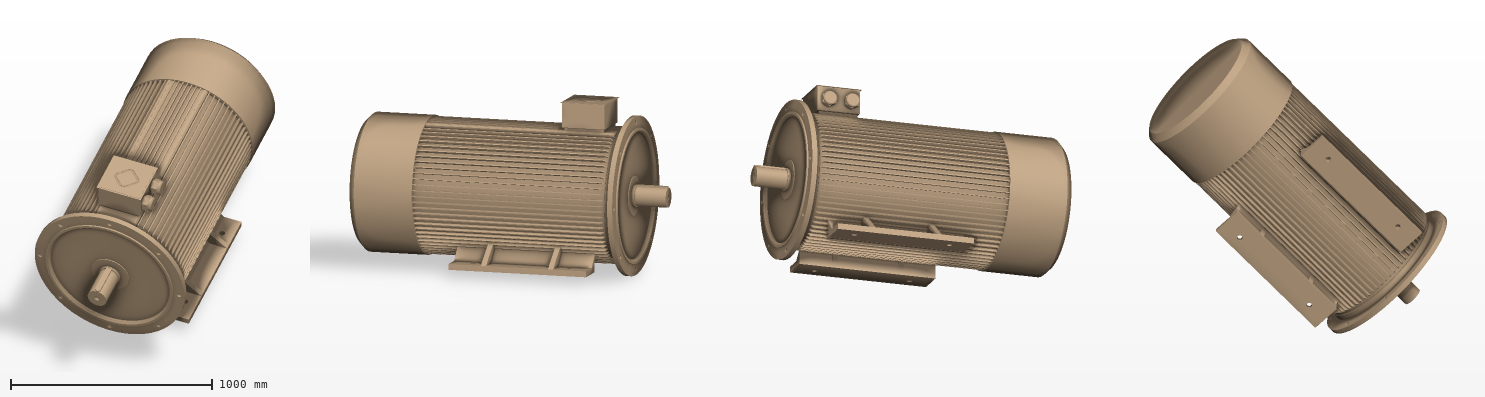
import cadquery as cq
import math


total_length = 1560
total_height = 874
shaft_length = 162.0
cowl_end = total_length - shaft_length
cowl_start = 1065.0
body_start = 81.0
joint_overlap = 15.0

shaft_diameter = 100.0
collar_diameter = 110.0
key_width = 28.0
key_top = 56.0
center_mouth_diameter = 28.0
center_hole_diameter = 20.0
center_hole_depth = 23.0

flange_diameter = 800.0
flange_front = 8.0
flange_back = 35.0
flange_hole_count = 8
flange_hole_diameter = 23.0
flange_hole_circle = 741.0
spigot_diameter = 680.0
recess_diameter = 654.0
recess_floor_diameter = 635.0
recess_bevel_depth = 10.0
recess_depth = 19.0
hub_diameter = 200.0
hub_height = 5.0
ring_diameter = 670.0
ring_front = 37.0
ring_back = 67.0
neck_diameter = 657.0
neck_front = 70.0
groove_diameter = 650.0

root_radius = 326.0
fin_radius = 343.0
fin_thickness = 5.5
fin_count = 72
fin_end_chamfer = 14.0
bare_half_angle = 18

pad_half_width = 109.0
pad_top = 329.0
pad_chamfer = 8.0
pad_front = 86.0
top_fin_count = 9
top_fin_pitch = 23.0
top_fin_start = 387.0
top_fin_slope = 12.0

cowl_diameter = 697.0
cowl_chamfer = 31.0

foot_bottom = -355.0
foot_thickness = 30.0
foot_outer = 365.0
foot_inner = 222.0
foot_front = 155.0
foot_back = 869.0
foot_wall_start = 271.0
foot_wall_rise = 65.0
foot_rib_thickness = 27.0
foot_rib_starts = (326.0, 674.0)
foot_rib_run = 131.0
foot_rib_rise = 97.0
foot_hole_diameter = 28.0
foot_hole_x = 304.0
foot_hole_spacing = 499.0

box_center_y = 246.0
box_width = 222.0
box_bottom = 343.0
box_edge_chamfer = 3.0
box_neck_width = 203.0
lid_width = 235.0
lid_top = total_height - flange_diameter / 2
lid_thickness = 3.0
lid_rim_depth = 2.0
badge_center_y = 240.0
badge_width = 108.0
badge_corner_radius = 27.0
badge_depth = 3.0
badge_bevel = 2.3
badge_frame = 11.0

gland_spacing = 119.0
gland_z = 400.0
gland_hex_corners = 80.0
gland_diameter = 70.0
gland_neck_diameter = 65.0
gland_hex_start = 117.0
gland_hex_end = 145.0
gland_end = 162.0
gland_chamfer = 5.0


def disc(diameter, start, end):
    """Round plate about the shaft axis between two Y positions."""
    plane = cq.Workplane("XZ", origin=(0, start, 0))
    return plane.circle(diameter / 2).extrude(start - end)


def block(x_size, y_start, y_end, z_start, z_end):
    """Box centred on X = 0."""
    size = (x_size, y_end - y_start, z_end - z_start)
    return cq.Workplane("XY").box(*size, centered=(True, False, False)).translate((0, y_start, z_start))


def make_shaft():
    radius = shaft_diameter / 2
    mouth = center_mouth_diameter / 2
    hole = center_hole_diameter / 2
    outline = [
        (0, -shaft_length + center_hole_depth),
        (hole, -shaft_length + center_hole_depth),
        (hole, -shaft_length + mouth - hole),
        (mouth, -shaft_length),
        (radius, -shaft_length),
        (radius, 0),
        (collar_diameter / 2, 0),
        (collar_diameter / 2, recess_depth + joint_overlap),
        (0, recess_depth + joint_overlap),
    ]
    shaft = cq.Workplane("XY").polyline(outline).close().revolve(360, (0, 0, 0), (0, 1, 0))
    round_center = -shaft_length + key_width / 2
    key = block(key_width, round_center, recess_depth + joint_overlap, radius / 2, key_top)
    key_nose = (
        cq.Workplane("XY", origin=(0, round_center, radius / 2))
        .circle(key_width / 2)
        .extrude(key_top - radius / 2)
    )
    return shaft.union(key).union(key_nose)


def make_front_rings():
    outline = [
        (0, recess_depth - hub_height),
        (hub_diameter / 2, recess_depth - hub_height),
        (hub_diameter / 2, recess_depth),
        (recess_floor_diameter / 2, recess_depth),
        (recess_floor_diameter / 2, recess_bevel_depth),
        (recess_diameter / 2, 0),
        (spigot_diameter / 2, 0),
        (spigot_diameter / 2, flange_front),
        (flange_diameter / 2, flange_front),
        (flange_diameter / 2, flange_back),
        (groove_diameter / 2, flange_back),
        (groove_diameter / 2, ring_front),
        (ring_diameter / 2, ring_front),
        (ring_diameter / 2, ring_back),
        (groove_diameter / 2, ring_back),
        (groove_diameter / 2, neck_front),
        (neck_diameter / 2, neck_front),
        (neck_diameter / 2, body_start),
        (root_radius, body_start),
        (root_radius, body_start + joint_overlap),
        (0, body_start + joint_overlap),
    ]
    rings = cq.Workplane("XY").polyline(outline).close().revolve(360, (0, 0, 0), (0, 1, 0))
    holes = (
        cq.Workplane("XZ")
        .polarArray(flange_hole_circle / 2, 0, 360, flange_hole_count)
        .circle(flange_hole_diameter / 2)
        .extrude(-flange_back)
    )
    return rings.cut(holes)


def fin_corner(radius, fin_angle, side):
    """Point where one side of a fin meets the given radius."""
    angle = fin_angle + side * math.asin(fin_thickness / 2 / radius)
    return (radius * math.sin(angle), radius * math.cos(angle))


def make_finned_body():
    fin_step = 360 / fin_count
    angles = [math.radians(i * fin_step) for i in range(fin_count)]
    bare = math.radians(bare_half_angle)
    fin_angles = [a for a in angles if bare < a < 2 * math.pi - bare]

    outline = cq.Workplane("XZ", origin=(0, body_start, 0)).moveTo(0, root_radius)
    previous = 0
    for angle in fin_angles:
        middle = (previous + angle) / 2
        valley = (root_radius * math.sin(middle), root_radius * math.cos(middle))
        outline = (
            outline.threePointArc(valley, fin_corner(root_radius, angle, -1))
            .lineTo(*fin_corner(fin_radius, angle, -1))
            .lineTo(*fin_corner(fin_radius, angle, 1))
            .lineTo(*fin_corner(root_radius, angle, 1))
        )
        previous = angle
    closing = previous / 2 + math.pi
    valley = (root_radius * math.sin(closing), root_radius * math.cos(closing))
    outline = outline.threePointArc(valley, (0, root_radius)).close()
    body = outline.extrude(body_start - cowl_start - joint_overlap)

    envelope = (
        disc(2 * (fin_radius + joint_overlap), body_start, cowl_start + joint_overlap)
        .faces("<Y")
        .chamfer(fin_end_chamfer + joint_overlap)
    )
    return body.intersect(envelope)


def make_pad():
    pad = block(2 * pad_half_width, pad_front, cowl_start, 0, pad_top)
    pad = pad.faces(">Z").edges("|Y or <Y").chamfer(pad_chamfer)
    fins = None
    for i in range(top_fin_count):
        x = (i - (top_fin_count - 1) / 2) * top_fin_pitch
        fin = (
            cq.Workplane("YZ", origin=(x - fin_thickness / 2, 0, 0))
            .moveTo(top_fin_start, root_radius - joint_overlap)
            .lineTo(top_fin_start, pad_top)
            .lineTo(top_fin_start + top_fin_slope, fin_radius)
            .lineTo(cowl_start, fin_radius)
            .lineTo(cowl_start, root_radius - joint_overlap)
            .close()
            .extrude(fin_thickness)
        )
        fins = fin if fins is None else fins.union(fin)
    fins = fins.intersect(disc(2 * fin_radius, body_start, cowl_start))
    return pad.union(fins)


def make_cowl():
    return disc(cowl_diameter, cowl_start, cowl_end).faces(">Y").chamfer(cowl_chamfer)


def make_left_foot():
    plate_top = foot_bottom + foot_thickness
    wall_end = foot_wall_start - foot_wall_rise
    foot = (
        cq.Workplane("XZ", origin=(0, foot_front, 0))
        .moveTo(-foot_outer, foot_bottom)
        .lineTo(-foot_inner, foot_bottom)
        .lineTo(-foot_inner, plate_top + foot_wall_rise / 2)
        .lineTo(-wall_end, plate_top + foot_wall_rise)
        .lineTo(-foot_wall_start, plate_top)
        .lineTo(-foot_outer, plate_top)
        .close()
        .extrude(foot_front - foot_back)
    )
    for start in foot_rib_starts:
        rib = (
            cq.Workplane("XZ", origin=(0, start, 0))
            .moveTo(-foot_outer, plate_top)
            .lineTo(-foot_outer + foot_rib_run, plate_top + foot_rib_rise)
            .lineTo(-wall_end, plate_top + foot_wall_rise)
            .lineTo(-foot_inner, plate_top)
            .close()
            .extrude(-foot_rib_thickness)
        )
        foot = foot.union(rib)
    middle_y = (foot_front + foot_back) / 2
    holes = (
        cq.Workplane("XY", origin=(-foot_hole_x, middle_y, foot_bottom))
        .rarray(15, foot_hole_spacing, 1, 2)
        .circle(foot_hole_diameter / 2)
        .extrude(foot_thickness)
    )
    return foot.cut(holes)


def square_plate(width, bottom, top):
    """Square plate centred on the terminal box."""
    half = width / 2
    return block(width, box_center_y - half, box_center_y + half, bottom, top)


def badge_plug(width, depth):
    """Rounded square set on its corner, reaching down from the lid panel."""
    return (
        cq.Workplane("XY")
        .box(width, width, depth, centered=(True, True, False))
        .edges("|Z")
        .fillet(badge_corner_radius - (badge_width - width) / 2)
        .rotate((0, 0, 0), (0, 0, 1), 45)
        .translate((0, badge_center_y, lid_top - depth))
    )


def make_terminal_box():
    neck = square_plate(box_neck_width, root_radius, box_bottom)
    box = square_plate(box_width, box_bottom, lid_top).faces("<Z").chamfer(box_edge_chamfer)
    lid = square_plate(lid_width, lid_top - lid_thickness, lid_top - lid_rim_depth)
    badge = badge_plug(badge_width, badge_depth).faces("<Z").chamfer(badge_bevel)
    badge_panel = badge_plug(badge_width - 2 * badge_frame, badge_depth).faces(">Z").chamfer(badge_bevel)
    return neck.union(box).union(lid).cut(badge).union(badge_panel)


def make_gland(y):
    box_side = box_width / 2
    neck = (
        cq.Workplane("YZ", origin=(box_side - joint_overlap, y, gland_z))
        .circle(gland_neck_diameter / 2)
        .extrude(gland_hex_start - box_side + joint_overlap)
    )
    cap = (
        cq.Workplane("YZ", origin=(gland_hex_end, y, gland_z))
        .circle(gland_diameter / 2)
        .extrude(gland_end - gland_hex_end)
        .faces(">X")
        .chamfer(gland_chamfer)
    )
    nut = (
        cq.Workplane("YZ", origin=(gland_hex_start, y, gland_z))
        .transformed(rotate=(0, 0, 90))
        .polygon(6, gland_hex_corners)
        .extrude(gland_hex_end - gland_hex_start)
    )
    return neck.union(nut).union(cap)


left_foot = make_left_foot()
result = make_finned_body().union(make_pad()).union(make_cowl())
result = result.union(make_front_rings()).union(make_shaft())
result = result.union(left_foot).union(left_foot.mirror("YZ"))
result = result.union(make_terminal_box())
for side in (-1, 1):
    result = result.union(make_gland(box_center_y + side * gland_spacing / 2))